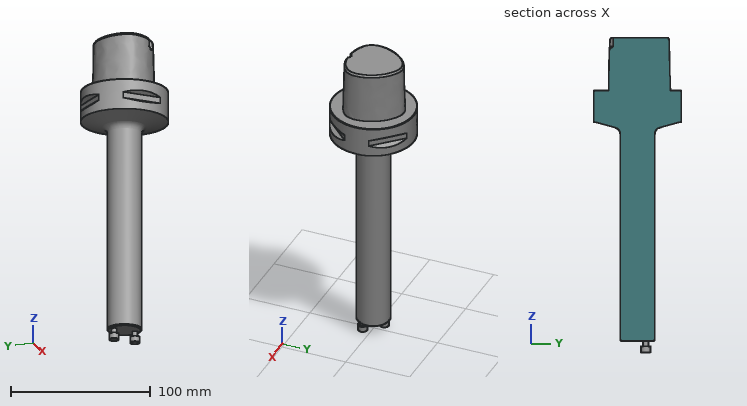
import cadquery as cq
import math

total_height = 226.0
flange_diameter = 63.0
flange_top = 188.0
flange_bottom = 165.5
flange_edge_chamfer = 0.5
flange_cone_angle = 15.0
neck_fillet = 4.5
stem_diameter = 25.0
stem_bottom = 8.4
stem_edge_chamfer = 1.0

shank_base_radius = 22.4
shank_taper = 1 / 40
shank_lobe = 1.4
section_points = 36
shank_chamfer_height = 1.5
shank_chamfer_width = 1.1

notch_diameter = 8.1
notch_axis_y = -21.5
notch_depth = 6.3
notch_tip_depth = 2.7

groove_count = 4
groove_start_angle = 45
groove_z = 175.8
groove_depth = 3.6
groove_floor_width = 4.3
groove_mouth_width = 8.4

screw_offset = 5.9
screw_shank_diameter = 4.0
screw_head_diameter = 7.0
screw_head_height = 4.5
screw_head_chamfer = 0.5

flange_radius = flange_diameter / 2
stem_radius = stem_diameter / 2


def make_body():
    """Flange, conical underside and long round stem."""
    cone_drop = (flange_radius - stem_radius) * math.tan(math.radians(flange_cone_angle))
    neck_z = flange_bottom - cone_drop
    body = (
        cq.Workplane("XZ")
        .moveTo(0, stem_bottom)
        .lineTo(stem_radius, stem_bottom)
        .lineTo(stem_radius, neck_z)
        .lineTo(flange_radius, flange_bottom)
        .lineTo(flange_radius, flange_top)
        .lineTo(0, flange_top)
        .close()
        .revolve(360, (0, 0, 0), (0, 1, 0))
    )
    margin = 0.2
    neck_corner = cq.selectors.BoxSelector(
        (-flange_radius, -flange_radius, neck_z - margin),
        (flange_radius, flange_radius, neck_z + margin),
    )
    body = body.edges(neck_corner).fillet(neck_fillet)
    body = body.faces(">Z").edges().chamfer(flange_edge_chamfer)
    return body.faces("<Z").edges().chamfer(stem_edge_chamfer)


def polygon_section(mean_radius, z):
    """Closed three-lobed curve of constant width at height z."""

    def point(angle):
        support = mean_radius - shank_lobe * math.sin(3 * angle)
        slope = -3 * shank_lobe * math.cos(3 * angle)
        return (
            support * math.cos(angle) - slope * math.sin(angle),
            support * math.sin(angle) + slope * math.cos(angle),
            z,
        )

    step = 2 * math.pi / section_points
    points = [cq.Vector(*point(index * step)) for index in range(section_points)]
    return cq.Wire.assembleEdges([cq.Edge.makeSpline(points, periodic=True)])


def make_shank():
    """Tapered polygon shank with a chamfered top edge."""
    chamfer_start = total_height - shank_chamfer_height
    upper_radius = shank_base_radius - shank_taper * (chamfer_start - flange_top)
    top_radius = upper_radius - shank_chamfer_width
    base = polygon_section(shank_base_radius, flange_top)
    upper = polygon_section(upper_radius, chamfer_start)
    top = polygon_section(top_radius, total_height)
    taper = cq.Solid.makeLoft([base, upper], True)
    chamfer = cq.Solid.makeLoft([upper, top], True)
    return cq.Workplane(taper).union(cq.Workplane(chamfer))


def make_notch():
    """Vertical drill-shaped cutter with a conical tip."""
    radius = notch_diameter / 2
    shoulder_z = total_height - notch_depth
    return (
        cq.Workplane("XZ", origin=(0, notch_axis_y, 0))
        .moveTo(0, total_height)
        .lineTo(radius, total_height)
        .lineTo(radius, shoulder_z)
        .lineTo(0, shoulder_z - notch_tip_depth)
        .close()
        .revolve(360, (0, 0, 0), (0, 1, 0))
    )


def make_groove(angle):
    """Straight trapezoidal groove cutter, tangent to the rim at the given angle."""
    floor_x = flange_radius - groove_depth
    half_floor = groove_floor_width / 2
    half_mouth = groove_mouth_width / 2
    return (
        cq.Workplane("XZ")
        .moveTo(floor_x, groove_z - half_floor)
        .lineTo(flange_radius, groove_z - half_mouth)
        .lineTo(flange_radius, groove_z + half_mouth)
        .lineTo(floor_x, groove_z + half_floor)
        .close()
        .extrude(flange_radius, both=True)
        .rotate((0, 0, 0), (0, 0, 1), angle)
    )


def make_screw(x, y):
    """Screw standing out of the stem end, head downward."""
    head = (
        cq.Workplane("XY", origin=(x, y, 0))
        .circle(screw_head_diameter / 2)
        .extrude(screw_head_height)
        .faces("<Z")
        .edges()
        .chamfer(screw_head_chamfer)
    )
    shank = (
        cq.Workplane("XY", origin=(x, y, screw_head_height))
        .circle(screw_shank_diameter / 2)
        .extrude(stem_bottom - screw_head_height)
    )
    return head.union(shank)


result = make_body().union(make_shank()).cut(make_notch())
for index in range(groove_count):
    result = result.cut(make_groove(groove_start_angle + index * 360 / groove_count))
for side in (-1, 1):
    result = result.union(make_screw(side * screw_offset, -side * screw_offset))